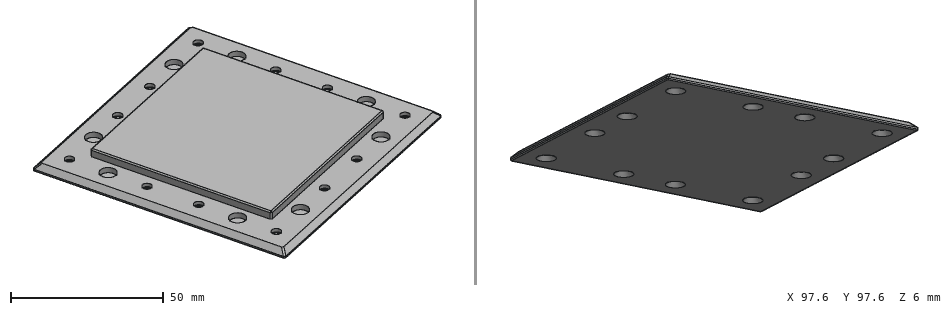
import cadquery as cq

plate_side = 97.6
plate_thickness = 2.9
plate_corner_chamfer = 0.5
plate_bevel = 2
plate_bottom_chamfer = 0.4

total_height = 6.0
pad_side = 70.1
pad_height = total_height - plate_thickness
pad_edge_chamfer = 0.5

rim_offset = 40
screw_hole_diameter = 3.4
countersink_diameter = 6.6
screw_hole_spacing = 20.0
pocket_diameter = 6.0
pocket_spacing = 50.1
pocket_depth = 2.05


def rim_points(position):
    """Mirrored pairs of points on all four sides of the rim."""
    points = []
    for side in (-rim_offset, rim_offset):
        for along in (-position, position):
            points.append((along, side))
            points.append((side, along))
    return points


corner_points = [(x, y) for x in (-rim_offset, rim_offset) for y in (-rim_offset, rim_offset)]
screw_points = corner_points + rim_points(screw_hole_spacing / 2)
pocket_points = rim_points(pocket_spacing / 2)

plate = (
    cq.Workplane("XY")
    .rect(plate_side, plate_side)
    .extrude(plate_thickness)
    .faces(">Z")
    .edges()
    .chamfer(plate_bevel)
    .edges("not #Z")
    .chamfer(plate_corner_chamfer)
    .faces("<Z")
    .edges()
    .chamfer(plate_bottom_chamfer)
)

pad = (
    cq.Workplane("XY", origin=(0, 0, plate_thickness))
    .rect(pad_side, pad_side)
    .extrude(pad_height)
    .edges("|Z or >Z")
    .chamfer(pad_edge_chamfer)
)

screw_holes = (
    cq.Workplane("XY")
    .pushPoints(screw_points)
    .circle(screw_hole_diameter / 2)
    .extrude(plate_thickness)
)

screw_hole_radius = screw_hole_diameter / 2
countersink_radius = countersink_diameter / 2
countersink_cone = cq.Solid.makeCone(
    countersink_radius,
    screw_hole_radius,
    countersink_radius - screw_hole_radius,
)
countersinks = (
    cq.Workplane("XY")
    .pushPoints(screw_points)
    .eachpoint(lambda location: countersink_cone.moved(location))
)

pockets = (
    cq.Workplane("XY", origin=(0, 0, plate_thickness - pocket_depth))
    .pushPoints(pocket_points)
    .circle(pocket_diameter / 2)
    .extrude(pocket_depth)
)

result = plate.union(pad).cut(screw_holes).cut(countersinks).cut(pockets)